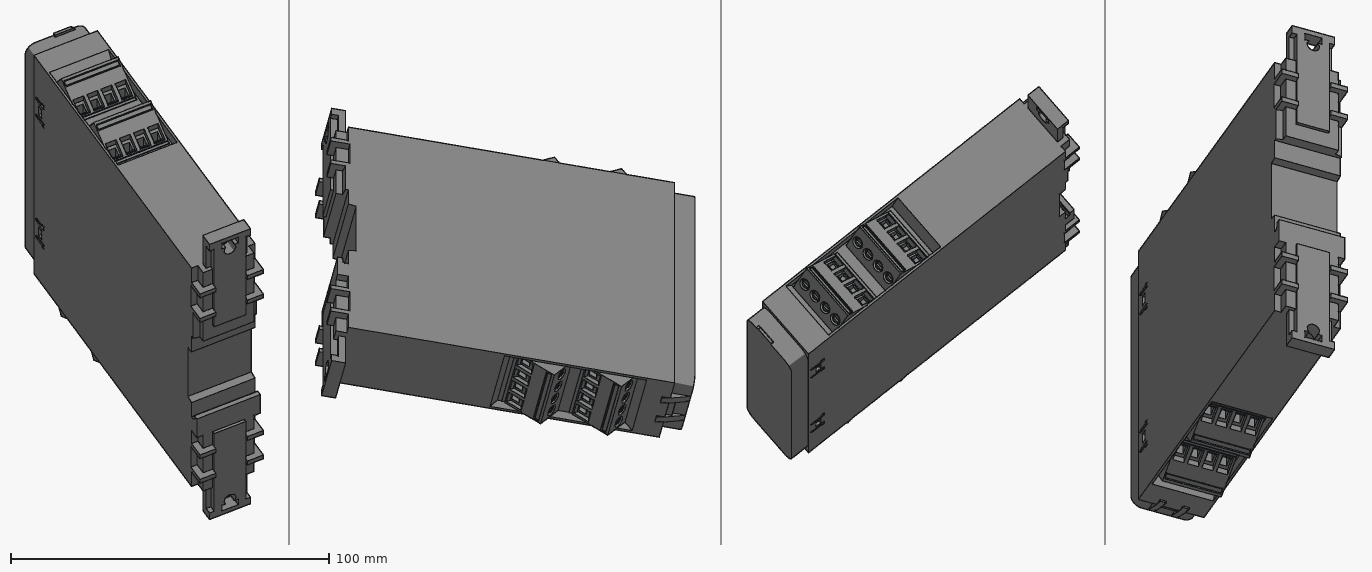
import cadquery as cq

OVERLAP = 0.6

WIDTH = 22.6
HALF_HEIGHT = 49.6
HOUSING_FRONT = 6.6
HOUSING_BACK = 115.1
BACK_STEP = 111.6
RAIL_SEAT = 109.1
RAIL_HALF_HEIGHT = 11.5
RAIL_EDGE_SLANT = 0.5
UPPER_FOOT_END = 18.5
LOWER_FOOT_END = -15.8
CATCH_DEPTH = 2.2
CATCH_WIDTH = 1.8
CATCH_CHAMFER = 0.6

CAP_WIDTH = 21.9
CAP_TOP = 47.4
CAP_BOTTOM = -47.0
CAP_RADIUS = 3.9
TAB_THICKNESS = 1.0
TAB_TOP = 48.4
TAB_LEFT = 6.5
TAB_RIGHT = -0.8
TAB_SLANT = 1.1

LATCH_WIDTH = 10.0
LATCH_RIB = 2.1
LATCH_TIP_X = 9.4
LATCH_TIP_Z = -50.2
LATCH_BAR_X = 4.4
LATCH_BAR_BOTTOM = -48.2

POCKET_START = 15.5
POCKET_END = 61.2
POCKET_SLOPE_RUN = 2.4
POCKET_FLOOR = 45.9
POCKET_WIDTH = 21.0
BLOCK_LEFT = 9.8
BLOCK_PITCH = 21.6
PEAK_X = 23.4
PEAK_Z = 54.0
BLOCK_START = 17.8
BLOCK_END = 35.9
REAR_SLOPE_FALL = 0.65
REAR_LEDGE_START = 34.9
REAR_LEDGE_Z = 46.1
POLES = 4
POLE_PITCH = 5.0
SCREW_X = 20.4
SCREW_HOLE_DIAMETER = 3.9
SCREW_HOLE_DEPTH = 1.2
SCREW_HEAD_DIAMETER = 2.8
SCREW_HEAD_RECESS = 0.4
SCREW_SLOT = 0.9
GROOVE_START = 24.1
GROOVE_STEP = 25.2
GROOVE_END = 25.8
GROOVE_SHALLOW = 0.5
GROOVE_DEEP = 1.1
GROOVE_END_WALL = 0.5
SOCKET_START = 29.8
SOCKET_FLOOR_END = 33.1
SOCKET_END = 34.5
SOCKET_WIDTH = 3.8
SOCKET_DEPTH = 2.0
ENTRY_START = 30.6
ENTRY_LENGTH = 2.4
ENTRY_WIDTH = 2.4
ENTRY_BOTTOM = 43.1

RECESS_DEPTH = 2.2
RECESS_DEEP_START = 111.1
FOOT_RECESS_START = 112.5
FOOT_RECESS_SLANT = 0.5
LOWER_RECESS_END = 24.2
HOOK_THICKNESS = 1.8
HOOK_LEVELS = (30.1, 41.2)
HOOK_BACK = 117.2
HOOK_INNER_Y = 5.6
BRACKET_WIDTH = 14.6
BRACKET_FRONT = 111.6
BRACKET_BACK = 116.1
BRACKET_INNER_END = 24.2
BRACKET_OUTER_END = 62.5
FLANGE_THICKNESS = 2.2
LIP_BOTTOM = 59.5
SPINE_WIDTH = 11.2
KEYHOLE_Z = 56.9
KEYHOLE_DIAMETER = 4.1
KEYHOLE_SLOT_WIDTH = 5.9
KEYHOLE_SLOT_BOTTOM = 58.2
KEYHOLE_SLOT_TOP = 60.8

SNAP_Z = 27.5
SNAP_CUT_DEPTH = 0.6
SNAP_SLOT_OFFSET = 3.9
SNAP_SLOT_START = 7.6
SNAP_SLOT_POINT = 0.6
SNAP_SLOT_HEIGHT = 1.0
SNAP_END = 13.1
SNAP_NOTCH_START = 11.9
SNAP_NOTCH_OFFSET = 4.2
SNAP_NOTCH_HEIGHT = 1.5
SNAP_WINDOW_START = 9.8
SNAP_CURVE_START = 10.8
SNAP_WINDOW_END = 11.8
SNAP_WINDOW_HEIGHT = 3.8

block_width = BLOCK_LEFT + POCKET_WIDTH / 2
block_center = BLOCK_LEFT - block_width / 2
pole_places = [block_center + (i - (POLES - 1) / 2) * POLE_PITCH for i in range(POLES)]


def box(x0, x1, y0, y1, z0, z1):
    """Box between two opposite corners."""
    return cq.Workplane("XY").box(x1 - x0, y1 - y0, z1 - z0, centered=False).translate((x0, y0, z0))


def centered_box(x0, x1, width, z0, z1, y=0):
    """Box of the given width centered on y."""
    return box(x0, x1, y - width / 2, y + width / 2, z0, z1)


def side_profile(points, width, y=0):
    """Outline in X and Z, extruded along Y and centered on y."""
    return cq.Workplane("XZ", origin=(0, y, 0)).polyline(points).close().extrude(width / 2, both=True)


def flat_profile(points, z0, z1):
    """Outline in X and Y, extruded from z0 up to z1."""
    return cq.Workplane("XY", origin=(0, 0, z0)).polyline(points).close().extrude(z1 - z0)


def flip_z(shape):
    return shape.mirror("XY")


def flip_y(shape):
    return shape.mirror("XZ")


def make_housing():
    catch_floor = LOWER_FOOT_END - CATCH_DEPTH
    catch_back = BACK_STEP + CATCH_WIDTH
    outline = [
        (HOUSING_FRONT, -HALF_HEIGHT),
        (HOUSING_FRONT, HALF_HEIGHT),
        (HOUSING_BACK, HALF_HEIGHT),
        (HOUSING_BACK, UPPER_FOOT_END),
        (BACK_STEP, UPPER_FOOT_END),
        (BACK_STEP, RAIL_HALF_HEIGHT),
        (RAIL_SEAT, RAIL_HALF_HEIGHT - RAIL_EDGE_SLANT),
        (RAIL_SEAT, RAIL_EDGE_SLANT - RAIL_HALF_HEIGHT),
        (BACK_STEP, -RAIL_HALF_HEIGHT),
        (BACK_STEP, catch_floor),
        (catch_back - CATCH_CHAMFER, catch_floor),
        (catch_back, catch_floor + CATCH_CHAMFER),
        (catch_back, LOWER_FOOT_END),
        (HOUSING_BACK, LOWER_FOOT_END),
        (HOUSING_BACK, -HALF_HEIGHT),
    ]
    return side_profile(outline, WIDTH)


def make_cap():
    cap = centered_box(0, HOUSING_FRONT + OVERLAP, CAP_WIDTH, CAP_BOTTOM, CAP_TOP)
    cap = cap.edges("|X").fillet(CAP_RADIUS)
    tab_outline = [
        (TAB_LEFT, CAP_TOP - OVERLAP),
        (TAB_LEFT, CAP_TOP),
        (TAB_LEFT - TAB_SLANT, TAB_TOP),
        (TAB_RIGHT, TAB_TOP),
        (TAB_RIGHT, CAP_TOP - OVERLAP),
    ]
    tab = cq.Workplane("YZ").polyline(tab_outline).close().extrude(TAB_THICKNESS)
    return cap.union(tab)


def make_latch():
    rib_outline = [
        (0, CAP_BOTTOM + OVERLAP),
        (0, CAP_BOTTOM),
        (HOUSING_FRONT, -HALF_HEIGHT),
        (LATCH_TIP_X, LATCH_TIP_Z),
        (LATCH_TIP_X, CAP_BOTTOM + OVERLAP),
    ]
    rib = side_profile(rib_outline, LATCH_RIB, (LATCH_WIDTH - LATCH_RIB) / 2)
    bar = centered_box(
        LATCH_BAR_X, HOUSING_FRONT + OVERLAP, LATCH_WIDTH - LATCH_RIB, LATCH_BAR_BOTTOM, CAP_BOTTOM + OVERLAP
    )
    return rib.union(flip_y(rib)).union(bar)


def make_pocket():
    outline = [
        (POCKET_START, HALF_HEIGHT),
        (POCKET_START + POCKET_SLOPE_RUN, POCKET_FLOOR),
        (POCKET_END - POCKET_SLOPE_RUN, POCKET_FLOOR),
        (POCKET_END, HALF_HEIGHT),
        (POCKET_END, HALF_HEIGHT + OVERLAP),
        (POCKET_START, HALF_HEIGHT + OVERLAP),
    ]
    return side_profile(outline, POCKET_WIDTH)


def on_rear_slope(x, lift=0):
    """Point above (or below, if lift is negative) the rear slope of a terminal block."""
    return (x, PEAK_Z - (x - PEAK_X) * REAR_SLOPE_FALL + lift)


def make_terminal_block():
    """Wedge with screws on its front slope and wire sockets on its rear slope."""
    outline = [
        (BLOCK_START, POCKET_FLOOR - OVERLAP),
        (BLOCK_START, POCKET_FLOOR),
        (PEAK_X, PEAK_Z),
        on_rear_slope(REAR_LEDGE_START),
        (REAR_LEDGE_START, REAR_LEDGE_Z),
        (BLOCK_END, REAR_LEDGE_Z),
        (BLOCK_END, POCKET_FLOOR - OVERLAP),
    ]
    block = side_profile(outline, block_width, block_center)

    groove_outline = [
        on_rear_slope(GROOVE_START, OVERLAP),
        on_rear_slope(GROOVE_START, -GROOVE_SHALLOW),
        on_rear_slope(GROOVE_STEP, -GROOVE_SHALLOW),
        on_rear_slope(GROOVE_STEP, -GROOVE_DEEP),
        on_rear_slope(GROOVE_END, -GROOVE_DEEP),
        on_rear_slope(GROOVE_END, OVERLAP),
    ]
    block = block.cut(side_profile(groove_outline, block_width - 2 * GROOVE_END_WALL, block_center))

    front_run = PEAK_X - BLOCK_START
    front_rise = PEAK_Z - POCKET_FLOOR
    screw_z = PEAK_Z - (PEAK_X - SCREW_X) * front_rise / front_run
    socket_outline = [
        on_rear_slope(SOCKET_START, OVERLAP),
        on_rear_slope(SOCKET_START, -SOCKET_DEPTH),
        on_rear_slope(SOCKET_FLOOR_END, -SOCKET_DEPTH),
        on_rear_slope(SOCKET_END),
        on_rear_slope(SOCKET_END, OVERLAP),
    ]
    for y in pole_places:
        face = cq.Plane(origin=(SCREW_X, y, screw_z), xDir=(0, 1, 0), normal=(-front_rise, 0, front_run))
        hole = cq.Workplane(face).circle(SCREW_HOLE_DIAMETER / 2).extrude(-SCREW_HOLE_DEPTH)
        seat = cq.Workplane(face).workplane(offset=-SCREW_HOLE_DEPTH)
        head_height = SCREW_HOLE_DEPTH - SCREW_HEAD_RECESS
        head = seat.circle(SCREW_HEAD_DIAMETER / 2).extrude(head_height)
        slot = seat.rect(SCREW_HEAD_DIAMETER, SCREW_SLOT).extrude(head_height)
        socket = side_profile(socket_outline, SOCKET_WIDTH, y)
        block = block.cut(hole.cut(head).union(slot)).cut(socket)
    return block


def make_wire_entries():
    """Narrow wire holes that continue below the sockets of one block."""
    entries = cq.Workplane("XY")
    for y in pole_places:
        entries = entries.union(
            centered_box(ENTRY_START, ENTRY_START + ENTRY_LENGTH, ENTRY_WIDTH, ENTRY_BOTTOM, PEAK_Z, y)
        )
    return entries


def make_side_recesses():
    """Recesses along the rear edge of the -Y side, split up by the hooks."""
    low_hook, high_hook = HOOK_LEVELS
    y_outer = -WIDTH / 2
    y_inner = y_outer + RECESS_DEPTH
    corner = box(BACK_STEP, HOUSING_BACK, y_outer, y_inner, high_hook, HALF_HEIGHT)
    middle = box(RECESS_DEEP_START, HOUSING_BACK, y_outer, y_inner, low_hook, high_hook)
    both_ends = corner.union(middle)
    upper_foot_outline = [
        (FOOT_RECESS_START, y_outer),
        (FOOT_RECESS_START + FOOT_RECESS_SLANT, y_inner),
        (HOUSING_BACK, y_inner),
        (HOUSING_BACK, y_outer),
    ]
    upper_foot = flat_profile(upper_foot_outline, UPPER_FOOT_END, low_hook)
    lower_foot = box(BACK_STEP, HOUSING_BACK, y_outer, y_inner, -low_hook, -LOWER_RECESS_END)
    return both_ends.union(flip_z(both_ends)).union(upper_foot).union(lower_foot)


def make_hooks():
    hooks = cq.Workplane("XY")
    for level in HOOK_LEVELS:
        hook = box(
            RECESS_DEEP_START - OVERLAP, HOOK_BACK, -WIDTH / 2, -HOOK_INNER_Y, level, level + HOOK_THICKNESS
        )
        hooks = hooks.union(hook).union(flip_z(hook))
    return hooks.union(flip_y(hooks))


def make_bracket():
    """Upper wall bracket with a keyhole in the part above the housing."""
    flange = centered_box(
        BRACKET_FRONT, BRACKET_FRONT + FLANGE_THICKNESS, BRACKET_WIDTH, BRACKET_INNER_END, BRACKET_OUTER_END
    )
    spine = centered_box(BRACKET_FRONT, BRACKET_BACK, SPINE_WIDTH, BRACKET_INNER_END, BRACKET_OUTER_END)
    lip = centered_box(BRACKET_FRONT, BRACKET_BACK, BRACKET_WIDTH, LIP_BOTTOM, BRACKET_OUTER_END)
    depth = BRACKET_BACK - BRACKET_FRONT
    front = cq.Workplane("YZ", origin=(BRACKET_FRONT, 0, 0))
    keyhole = front.center(0, KEYHOLE_Z).circle(KEYHOLE_DIAMETER / 2).extrude(depth)
    keyhole = keyhole.union(
        centered_box(BRACKET_FRONT, BRACKET_BACK, KEYHOLE_SLOT_WIDTH, KEYHOLE_SLOT_BOTTOM, KEYHOLE_SLOT_TOP)
    )
    return flange.union(spine).union(lip).cut(keyhole)


def make_snap_window():
    """Upper snap on the -Y side: a round-floored window between two pointed slots."""
    y = -WIDTH / 2
    cut_width = 2 * SNAP_CUT_DEPTH
    half = SNAP_SLOT_HEIGHT / 2
    curve_radius = SNAP_WINDOW_END - SNAP_CURVE_START
    cuts = (
        cq.Workplane("XY", origin=(0, 0, SNAP_Z - SNAP_WINDOW_HEIGHT / 2))
        .moveTo(SNAP_WINDOW_START, y)
        .lineTo(SNAP_WINDOW_START, y + curve_radius)
        .lineTo(SNAP_CURVE_START, y + curve_radius)
        .radiusArc((SNAP_WINDOW_END, y), curve_radius)
        .close()
        .extrude(SNAP_WINDOW_HEIGHT)
    )
    for side in (-1, 1):
        z = SNAP_Z + side * SNAP_SLOT_OFFSET
        slot_outline = [
            (SNAP_SLOT_START, z),
            (SNAP_SLOT_START + SNAP_SLOT_POINT, z + half),
            (SNAP_END, z + half),
            (SNAP_END, z - half),
            (SNAP_SLOT_START + SNAP_SLOT_POINT, z - half),
        ]
        notch_z = SNAP_Z + side * SNAP_NOTCH_OFFSET
        notch = centered_box(
            SNAP_NOTCH_START,
            SNAP_END,
            cut_width,
            notch_z - SNAP_NOTCH_HEIGHT / 2,
            notch_z + SNAP_NOTCH_HEIGHT / 2,
            y,
        )
        cuts = cuts.union(side_profile(slot_outline, cut_width, y)).union(notch)
    return cuts


result = make_housing()

side_recesses = make_side_recesses()
result = result.cut(side_recesses).cut(flip_y(side_recesses))

snap_window = make_snap_window()
result = result.cut(snap_window).cut(flip_z(snap_window))

result = result.union(make_cap()).union(make_latch()).union(make_hooks())

bracket = make_bracket()
result = result.union(bracket).union(flip_z(bracket))

pocket = make_pocket()
result = result.cut(pocket).cut(flip_z(pocket))

terminal_block = make_terminal_block()
wire_entries = make_wire_entries()
for shift in (0, BLOCK_PITCH):
    placed_block = terminal_block.translate((shift, 0, 0))
    placed_entries = wire_entries.translate((shift, 0, 0))
    result = result.union(placed_block).union(flip_z(placed_block))
    result = result.cut(placed_entries).cut(flip_z(placed_entries))